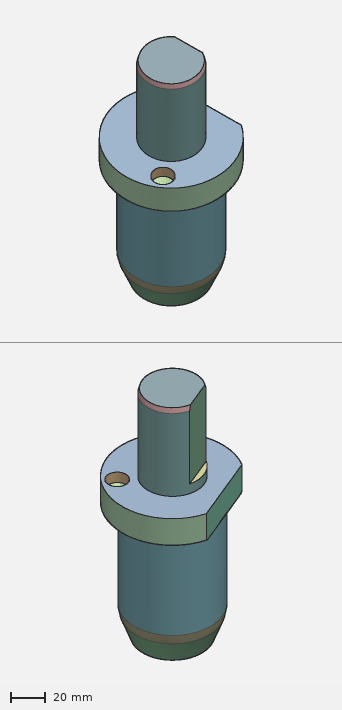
import cadquery as cq
import math

total_height = 178.0
body_length = 95.0
flange_thickness = 20.0
flange_top = body_length + flange_thickness

body_radius = 63.0 / 2
taper_length = 20.0
taper_angle = math.radians(20.0)
taper_blend_radius = 20.0
nose_fillet = 1.2

flange_radius = 83.0 / 2
flange_flat_y = 32.5
flange_chamfer = 1.0
neck_fillet = 1.0

shank_radius = 39.99 / 2
shank_flat_y = 16.0
shank_flat_start = flange_top + 7.0
shank_lead_length = 3.5
shank_lead_angle = math.radians(15.0)

hole_diameter = 14.01
hole_circle_radius = 32.0
hole_direction = math.radians(-60.0)
hole_depth = 7.5
drill_half_angle = math.radians(118.0 / 2)


def turned_profile():
    """Half section of the turned part, drawn in the XZ plane."""
    blend_tangent = taper_blend_radius * math.tan(taper_angle / 2)
    blend_top_z = taper_length + blend_tangent
    blend_center_r = body_radius - taper_blend_radius

    def blend_point(angle):
        radius = blend_center_r + taper_blend_radius * math.cos(angle)
        height = blend_top_z - taper_blend_radius * math.sin(angle)
        return radius, height

    nose_corner_r = body_radius - taper_length * math.tan(taper_angle)
    fillet_turn = math.pi / 2 - taper_angle
    nose_center_r = nose_corner_r - nose_fillet * math.tan(fillet_turn / 2)

    def nose_point(angle):
        radius = nose_center_r + nose_fillet * math.sin(angle)
        height = nose_fillet * (1 - math.cos(angle))
        return radius, height

    lead_step = shank_lead_length * math.tan(shank_lead_angle)
    fillet_middle = neck_fillet * (1 - math.sqrt(0.5))
    return (
        cq.Workplane("XZ")
        .moveTo(0, 0)
        .lineTo(nose_center_r, 0)
        .threePointArc(nose_point(fillet_turn / 2), nose_point(fillet_turn))
        .lineTo(*blend_point(taper_angle))
        .threePointArc(blend_point(taper_angle / 2), (body_radius, blend_top_z))
        .lineTo(body_radius, body_length - neck_fillet)
        .threePointArc(
            (body_radius + fillet_middle, body_length - fillet_middle),
            (body_radius + neck_fillet, body_length),
        )
        .lineTo(flange_radius - flange_chamfer, body_length)
        .lineTo(flange_radius, body_length + flange_chamfer)
        .lineTo(flange_radius, flange_top)
        .lineTo(shank_radius, flange_top)
        .lineTo(shank_radius, total_height - shank_lead_length)
        .lineTo(shank_radius - lead_step, total_height)
        .lineTo(0, total_height)
        .close()
    )


def flat_cutter(flat_y, bottom, top):
    """Block that removes everything beyond flat_y between two heights."""
    return cq.Workplane("XY").box(
        2 * flange_radius, flange_radius, top - bottom, centered=(True, False, False)
    ).translate((0, flat_y, bottom))


def drilled_hole():
    """Cylinder with a conical drill point, placed at its spot in the flange."""
    hole_radius = hole_diameter / 2
    point_depth = hole_radius / math.tan(drill_half_angle)
    drill = (
        cq.Workplane("XZ")
        .polyline([
            (0, 0),
            (hole_radius, 0),
            (hole_radius, -hole_depth),
            (0, -hole_depth - point_depth),
        ])
        .close()
        .revolve(360, (0, 0), (0, 1))
    )
    hole_x = hole_circle_radius * math.cos(hole_direction)
    hole_y = hole_circle_radius * math.sin(hole_direction)
    return drill.translate((hole_x, hole_y, flange_top))


pin = turned_profile().revolve(360, (0, 0), (0, 1))
pin = pin.cut(flat_cutter(flange_flat_y, 0, flange_top))
pin = pin.cut(flat_cutter(shank_flat_y, shank_flat_start, total_height))
result = pin.cut(drilled_hole())